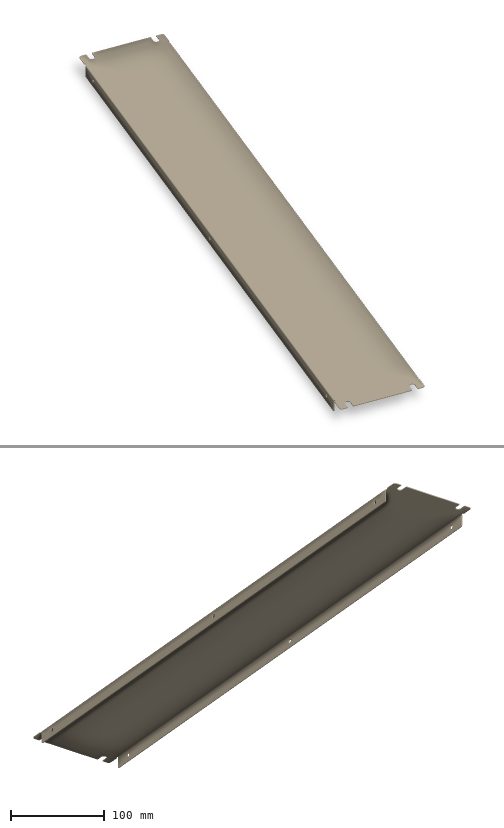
import cadquery as cq

LENGTH = 686.5
WIDTH = 99.6
HEIGHT = 15.0

THICKNESS = 1.0
INNER_BEND_RADIUS = 0.2
OUTER_BEND_RADIUS = INNER_BEND_RADIUS + THICKNESS

EAR_LENGTH = 14.5
EAR_CORNER_RADIUS = 3.0
RELIEF_WIDTH = 3.0
RELIEF_DEPTH = OUTER_BEND_RADIUS

SLOT_WIDTH = 6.5
SLOT_DEPTH = 10.5
SLOT_PITCH = 75.5

FLANGE_LENGTH = LENGTH - 2 * (EAR_LENGTH + RELIEF_WIDTH)
FLANGE_CORNER_RADIUS = 1.5
HOLE_DIAMETER = 4.2
HOLE_PITCH = 306.2
HOLE_DROP = 7.5

SIDES = (-1, 1)


def folded_channel():
    """U-shaped channel, open downwards, with its top face at Z = 0."""
    outer = (
        cq.Workplane("XY")
        .box(FLANGE_LENGTH, WIDTH, HEIGHT)
        .translate((0, 0, -HEIGHT / 2))
        .edges("|X and >Z")
        .fillet(OUTER_BEND_RADIUS)
        .edges("|Y and <Z")
        .fillet(FLANGE_CORNER_RADIUS)
    )
    cavity_height = HEIGHT - THICKNESS
    cavity = (
        cq.Workplane("XY")
        .box(FLANGE_LENGTH, WIDTH - 2 * THICKNESS, cavity_height)
        .translate((0, 0, -THICKNESS - cavity_height / 2))
        .edges("|X and >Z")
        .fillet(INNER_BEND_RADIUS)
    )
    return outer.cut(cavity)


def ear_sheet():
    """Flat sheet over the full length, narrowed between the two ears."""
    sheet = (
        cq.Workplane("XY")
        .rect(LENGTH, WIDTH)
        .extrude(-THICKNESS)
        .edges("|Z")
        .fillet(EAR_CORNER_RADIUS)
    )
    edge_gap = (
        cq.Workplane("XY")
        .pushPoints([(0, side * (WIDTH - RELIEF_DEPTH) / 2) for side in SIDES])
        .rect(LENGTH - 2 * EAR_LENGTH, RELIEF_DEPTH)
        .extrude(-THICKNESS)
    )
    return sheet.cut(edge_gap)


def mounting_slots():
    """Round-ended slots that open through the short ends of the sheet."""
    centres = [(sx * LENGTH / 2, sy * SLOT_PITCH / 2) for sx in SIDES for sy in SIDES]
    return (
        cq.Workplane("XY")
        .pushPoints(centres)
        .slot2D(2 * SLOT_DEPTH, SLOT_WIDTH)
        .extrude(-THICKNESS)
    )


def flange_holes():
    """Row of three holes passing through both flanges."""
    return (
        cq.Workplane("XZ")
        .pushPoints([(step * HOLE_PITCH, -HOLE_DROP) for step in (-1, 0, 1)])
        .circle(HOLE_DIAMETER / 2)
        .extrude(WIDTH / 2, both=True)
    )


result = ear_sheet().union(folded_channel()).cut(mounting_slots()).cut(flange_holes())